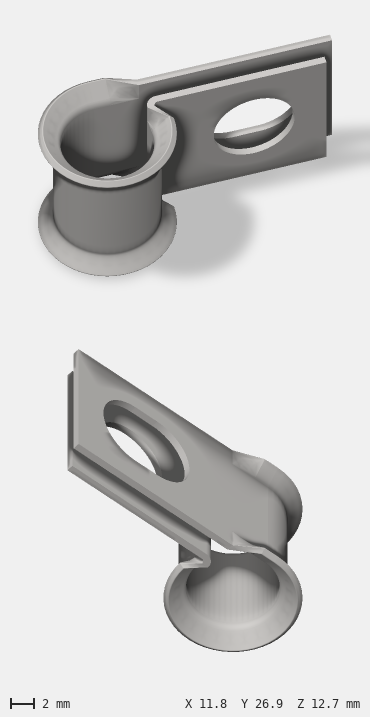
import cadquery as cq
import math


thickness = 0.635
strip_width = 12.7
half_width = strip_width / 2

inner_radius = 3.969
outer_radius = inner_radius + thickness
flare_radius = 5.88
rim_fillet = 0.08
flare_angle = math.radians(45)
flare_bend_radius = 0.254
hoop_sweep = 270

long_leg_end = 21.01
flared_straight_length = 1.46
long_fade_end = inner_radius
faded_arc_length = 0.02

short_leg_end = 19.87
leg_gap = 1.524
leg_bend_inner_radius = 0.381
leg_bend_outer_radius = leg_bend_inner_radius + thickness

hole_y = 13.49
hole_diameter = 7.144
slot_length = 9.525

diagonal = math.cos(math.radians(45))
short_leg_x = -inner_radius + leg_gap
leg_bend_x = short_leg_x + leg_bend_outer_radius
leg_bend_y = inner_radius + leg_bend_outer_radius

hoop_start = cq.Plane(origin=(0, 0, 0), xDir=(-1, 0, 0), normal=(0, 1, 0))
hoop_end = cq.Plane(origin=(0, 0, 0), xDir=(0, 1, 0), normal=(1, 0, 0))


def flared_half():
    """Four (start, middle, end) arcs of the upper half section, as (radius, z) points.

    They run from the inner bend over the two rounded rim corners to the outer bend.
    """
    sin_a = math.sin(flare_angle)
    cos_a = math.cos(flare_angle)
    along = (sin_a, cos_a)
    across = (-cos_a, sin_a)
    bend_middle = (-math.cos(flare_angle / 2), math.sin(flare_angle / 2))

    corner_reach = rim_fillet * (sin_a + cos_a - 1)
    tip_radius = flare_radius + corner_reach
    tip_z = half_width + corner_reach - thickness * sin_a
    tip = (tip_radius, tip_z)

    bend_radius = outer_radius + flare_bend_radius
    outer_bend_end = bend_radius - flare_bend_radius * cos_a
    bend_z = tip_z - (tip_radius - outer_bend_end) / math.tan(flare_angle) - flare_bend_radius * sin_a
    bend_center = (bend_radius, bend_z)
    inner_bend_radius = flare_bend_radius + thickness

    def step(point, direction, distance):
        return (point[0] + direction[0] * distance, point[1] + direction[1] * distance)

    below_rim = step(tip, along, -rim_fillet)
    inner_center = step(below_rim, across, thickness - rim_fillet)
    tip_center = step(below_rim, across, rim_fillet)
    half_diagonal = rim_fillet * diagonal

    inner_bend = (
        (inner_radius, bend_z),
        step(bend_center, bend_middle, inner_bend_radius),
        step(bend_center, across, inner_bend_radius),
    )
    inner_corner = (
        step(inner_center, across, rim_fillet),
        step(step(inner_center, across, half_diagonal), along, half_diagonal),
        step(inner_center, along, rim_fillet),
    )
    tip_corner = (
        step(tip_center, along, rim_fillet),
        step(step(tip_center, across, -half_diagonal), along, half_diagonal),
        step(tip_center, across, -rim_fillet),
    )
    outer_bend = (
        step(bend_center, across, flare_bend_radius),
        step(bend_center, bend_middle, flare_bend_radius),
        (outer_radius, bend_z),
    )
    return [inner_bend, inner_corner, tip_corner, outer_bend]


def flared_section(plane):
    """Closed full-width section: the four arcs, their mirror images and the lines joining them."""
    upper = flared_half()
    lower = [[(radius, -z) for radius, z in reversed(arc)] for arc in reversed(upper)]
    section = plane.moveTo(*upper[0][0])
    for index, (start, middle, end) in enumerate(upper + lower):
        if index > 0:
            section = section.lineTo(*start)
        section = section.threePointArc(middle, end)
    return section.close()


def flat_section(plane):
    """Plain rectangle with one point for each arc end of the flared section."""
    bend_z = flared_half()[0][0][1]
    heights = [bend_z, bend_z + faded_arc_length, half_width - faded_arc_length, half_width]
    inner_face = [(inner_radius, z) for z in heights]
    outer_face = [(outer_radius, z) for z in reversed(heights)]
    upper = inner_face + outer_face
    lower = [(radius, -z) for radius, z in reversed(upper)]
    return plane.polyline(upper + lower).close()


def fade(plane, length):
    """Strip whose section changes from flared to flat over the given signed length."""
    flared = flared_section(plane)
    return flat_section(flared.workplane(offset=length)).loft(ruled=True)


def make_hoop():
    hoop = flared_section(cq.Workplane(hoop_start)).revolve(hoop_sweep, (0, 0), (0, 1))
    straight = flared_section(cq.Workplane(hoop_start)).extrude(flared_straight_length)
    return hoop.union(straight)


def make_long_leg():
    fade_plane = cq.Workplane(hoop_start).workplane(offset=flared_straight_length)
    faded = fade(fade_plane, long_fade_end - flared_straight_length)
    flat = (
        cq.Workplane("XY", origin=(-outer_radius, long_fade_end, 0))
        .box(thickness, long_leg_end - long_fade_end, strip_width, centered=(False, False, True))
    )
    slot = (
        cq.Workplane("YZ", origin=(-outer_radius, hole_y, 0))
        .slot2D(slot_length, hole_diameter)
        .extrude(thickness)
    )
    return faded.union(flat).cut(slot)


def make_short_leg():
    faded = fade(cq.Workplane(hoop_end), leg_bend_x)

    def bend_middle(radius):
        return (leg_bend_x - radius * diagonal, leg_bend_y - radius * diagonal)

    flat = (
        cq.Workplane("XY", origin=(0, 0, -half_width))
        .moveTo(leg_bend_x, inner_radius)
        .threePointArc(bend_middle(leg_bend_outer_radius), (short_leg_x, leg_bend_y))
        .lineTo(short_leg_x, short_leg_end)
        .lineTo(short_leg_x + thickness, short_leg_end)
        .lineTo(short_leg_x + thickness, leg_bend_y)
        .threePointArc(bend_middle(leg_bend_inner_radius), (leg_bend_x, outer_radius))
        .close()
        .extrude(strip_width)
    )
    hole = (
        cq.Workplane("YZ", origin=(short_leg_x, hole_y, 0))
        .circle(hole_diameter / 2)
        .extrude(thickness)
    )
    return faded.union(flat).cut(hole)


result = make_hoop().union(make_long_leg()).union(make_short_leg())